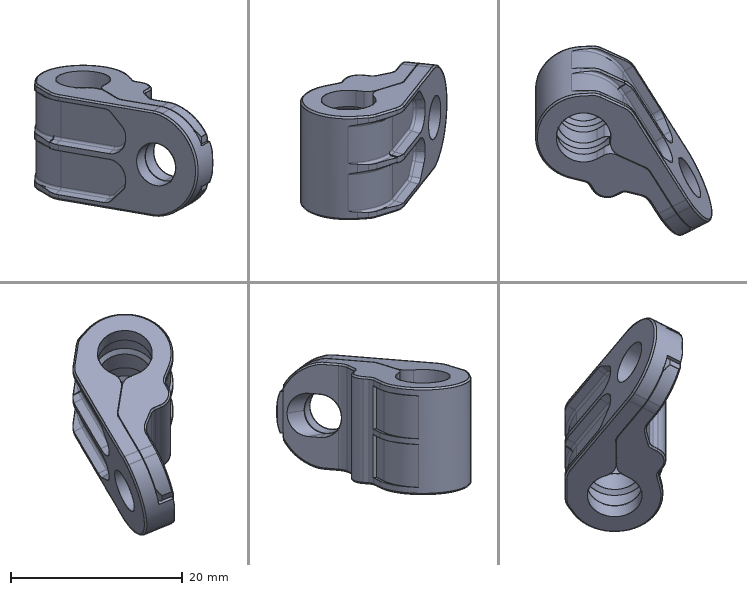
import cadquery as cq
import math


LENGTH = 24.55
DEPTH = 12.27
HEIGHT = 12.9
HALF_HEIGHT = HEIGHT / 2
EDGE_CHAMFER = 0.22

RING_RADIUS = 5.62
RING_X = RING_RADIUS
RING_Y = DEPTH - RING_RADIUS
BORE_RADIUS = 3.2
GROOVE_DEPTH = 0.5
GROOVE_TOP = 2.04
GROOVE_WIDTH = 2.97

FLANK_SUM = RING_X + RING_Y + RING_RADIUS * math.sqrt(2)
TAIL_TOP = 4.12
BUMP_TOP = 9.15
BUMP_RIGHT = 14.15
BUMP_RADIUS = 2.01
BUMP_ROOT_RADIUS = 0.88
TAIL_ROOT_RADIUS = 1.77
HEEL = (5.18, 0.0)
HEEL_RADIUS = 2.82
SHOULDER = (1.42, 2.48)
SHOULDER_RADIUS = 2.09

TIP_RADIUS = 6.53
TIP_X = LENGTH - TIP_RADIUS
TIP_BLEND_RADIUS = 4.42

SLIT_GAP = 0.07
SLIT_Y = 2.09
SLIT_ANGLE = math.radians(33.7)
SLIT_KNEE_X = 12.93
SLIT_KNEE_RADIUS = 1.55
JAW_RADIUS = 1.57
LOWER_JAW_RADIUS = 1.82

UPPER_TIP_X = 23.6
HOOK_INNER_X = 23.68
HOOK_TOP = 3.9
HOOK_HALF_WIDTH = 2.5
HOOK_CHAMFER = 0.15
HOOK_ROOT_RADIUS = 0.4
RELIEF_LENGTH = 0.8
RELIEF_HEIGHT = 0.61
RELIEF_BULGE = 0.06

HOLE_X = 19.05
HOLE_RADIUS = 2.6
HOLE_SWEEP = 1.47

POCKET_DEPTH = 1.33
POCKET_DRAFT = 10.0
POCKET_FILLET = 0.35
POCKET_FLOOR_RADIUS = 5.75
POCKET_SWEEP = 100.0
POCKET_END_X = 14.97
OUTER_RIB = 0.69
MIDDLE_RIB = 0.69
POCKET_TOP = HALF_HEIGHT - OUTER_RIB
POCKET_BOTTOM = MIDDLE_RIB / 2
POCKET_BEVEL = 2.28
POCKET_TOP_RADIUS = 1.35
POCKET_END_RADIUS = 1.72
POCKET_BOTTOM_RADIUS = 2.2
RING_WIDENING = 0.12
WIDENING_X = 4.6

RECESS_START = 100.0
RECESS_SHIFT = 0.5
RECESS_OUTER_RIB = 0.93
RECESS_END_X = 10.55
FLANK_ANGLE = 45


def rounded_outline(plane, corners):
    """Closed outline through (x, y, radius) corners, each rounded by a tangent arc of its radius."""
    count = len(corners)
    path = None
    for i, (x, y, radius) in enumerate(corners):
        here = cq.Vector(x, y)
        before = (cq.Vector(*corners[i - 1][:2]) - here).normalized()
        after = (cq.Vector(*corners[(i + 1) % count][:2]) - here).normalized()
        half_angle = before.getAngle(after) / 2
        setback = radius / math.tan(half_angle)
        start = here + before * setback
        end = here + after * setback
        bisector = (before + after).normalized()
        middle = here + bisector * (radius / math.sin(half_angle) - radius)
        path = path.lineTo(start.x, start.y) if path else cq.Workplane(plane).moveTo(start.x, start.y)
        if radius:
            path = path.threePointArc((middle.x, middle.y), (end.x, end.y))
    return path.close()


def through_height(outline):
    return outline.extrude(HALF_HEIGHT, both=True)


def box(x_min, x_max, y_min, y_max, z_min, z_max):
    size = (x_max - x_min, y_max - y_min, z_max - z_min)
    return cq.Workplane("XY").box(*size, centered=False).translate((x_min, y_min, z_min))


def ring_point(angle, radius=RING_RADIUS):
    turn = math.radians(angle)
    return RING_X + radius * math.cos(turn), RING_Y + radius * math.sin(turn)


def make_body():
    """Solid silhouette: side outline trimmed by the rounded tail, outer edges chamfered."""
    reach_x = SHOULDER[0] - RING_X
    reach_y = SHOULDER[1] - RING_Y
    tangent_angle = math.atan2(reach_y, reach_x) - math.acos(RING_RADIUS / math.hypot(reach_x, reach_y))
    ring_end = ring_point(math.degrees(tangent_angle))
    body = through_height(rounded_outline("XY", [
        (*ring_end, 0),
        (*SHOULDER, SHOULDER_RADIUS),
        (*HEEL, HEEL_RADIUS),
        (LENGTH, 0, 0),
        (LENGTH, TAIL_TOP, 0),
        (FLANK_SUM - TAIL_TOP, TAIL_TOP, TAIL_ROOT_RADIUS),
        (BUMP_RIGHT, FLANK_SUM - BUMP_RIGHT, BUMP_ROOT_RADIUS),
        (BUMP_RIGHT, BUMP_TOP, BUMP_RADIUS),
        (FLANK_SUM - BUMP_TOP, BUMP_TOP, BUMP_ROOT_RADIUS),
        (*ring_point(FLANK_ANGLE), 0),
    ]))
    body = body.union(through_height(cq.Workplane("XY").center(RING_X, RING_Y).circle(RING_RADIUS)))

    blend_z = HALF_HEIGHT - TIP_BLEND_RADIUS
    blend_run = math.sqrt((TIP_RADIUS - TIP_BLEND_RADIUS) ** 2 - blend_z ** 2)
    blend_x = TIP_X + blend_run
    tip_angle = math.atan2(blend_z, blend_run)
    mid_angle = (tip_angle + math.pi / 2) / 2
    join = (TIP_X + TIP_RADIUS * math.cos(tip_angle), TIP_RADIUS * math.sin(tip_angle))
    blend_mid = (
        blend_x + TIP_BLEND_RADIUS * math.cos(mid_angle),
        blend_z + TIP_BLEND_RADIUS * math.sin(mid_angle),
    )
    plan = (
        cq.Workplane("XZ")
        .moveTo(0, -HALF_HEIGHT)
        .lineTo(blend_x, -HALF_HEIGHT)
        .threePointArc((blend_mid[0], -blend_mid[1]), (join[0], -join[1]))
        .threePointArc((LENGTH, 0), join)
        .threePointArc(blend_mid, (blend_x, HALF_HEIGHT))
        .lineTo(0, HALF_HEIGHT)
        .close()
        .extrude(-2 * DEPTH)
    )
    body = body.intersect(plan).clean()
    return body.edges("not(|Z or |Y)").chamfer(EDGE_CHAMFER)


def make_bore():
    """Bore with two chamfer-sided grooves, mirrored about the middle."""
    bore = through_height(cq.Workplane("XY").circle(BORE_RADIUS))
    top = HALF_HEIGHT - GROOVE_TOP
    bottom = top - GROOVE_WIDTH
    deep = BORE_RADIUS + GROOVE_DEPTH
    groove = (
        cq.Workplane("XZ")
        .polyline([
            (0, top),
            (BORE_RADIUS, top),
            (deep, top - GROOVE_DEPTH),
            (deep, bottom + GROOVE_DEPTH),
            (BORE_RADIUS, bottom),
            (0, bottom),
        ])
        .close()
        .revolve(360, (0, 0), (0, 1))
    )
    bore = bore.union(groove).union(groove.mirror("XY"))
    return bore.translate((RING_X, RING_Y, 0))


def make_slit():
    """Thin slit from the bore to the tip, with its rounded mouth between the jaws."""
    slope = math.tan(SLIT_ANGLE)
    jaw_x = RING_X + BORE_RADIUS
    upper_y = SLIT_Y + SLIT_GAP / 2
    lower_y = SLIT_Y - SLIT_GAP / 2
    knee_shift = SLIT_GAP * math.tan(SLIT_ANGLE / 2)
    lower_knee_x = SLIT_KNEE_X - knee_shift
    jaw_y = upper_y + (SLIT_KNEE_X - jaw_x) * slope
    lower_jaw_y = lower_y + (lower_knee_x - RING_X) * slope
    slit = through_height(rounded_outline("XY", [
        (jaw_x, RING_Y, 0),
        (jaw_x, jaw_y, JAW_RADIUS),
        (SLIT_KNEE_X, upper_y, SLIT_KNEE_RADIUS),
        (UPPER_TIP_X, upper_y, 0),
        (UPPER_TIP_X, lower_y, 0),
        (lower_knee_x, lower_y, SLIT_KNEE_RADIUS),
        (RING_X, lower_jaw_y, 0),
    ]))
    reach = BORE_RADIUS + LOWER_JAW_RADIUS
    wall_distance = (lower_jaw_y - RING_Y) * math.cos(SLIT_ANGLE) - LOWER_JAW_RADIUS
    nose_angle = math.pi / 2 - SLIT_ANGLE - math.acos(wall_distance / reach)
    nose_x = RING_X + reach * math.cos(nose_angle)
    nose_y = RING_Y + reach * math.sin(nose_angle)
    bore_touch = ring_point(math.degrees(nose_angle), BORE_RADIUS)
    wall_touch = (
        nose_x + LOWER_JAW_RADIUS * math.sin(SLIT_ANGLE),
        nose_y + LOWER_JAW_RADIUS * math.cos(SLIT_ANGLE),
    )
    mouth = through_height(
        cq.Workplane("XY")
        .polyline([(RING_X, RING_Y), bore_touch, (nose_x, nose_y), wall_touch, (RING_X, lower_jaw_y)])
        .close()
    )
    nose = through_height(cq.Workplane("XY").center(nose_x, nose_y).circle(LOWER_JAW_RADIUS))
    return slit.union(mouth.cut(nose))


def make_tip_gap():
    """Clearance that shortens the upper plate and leaves the hook standing on the lower one."""
    far = LENGTH + 0.25
    above = TAIL_TOP + 0.25
    floor = SLIT_Y - SLIT_GAP / 2
    relief_share = 0.5 - RELIEF_BULGE
    gap = (
        cq.Workplane("XY")
        .moveTo(UPPER_TIP_X, above)
        .lineTo(UPPER_TIP_X, floor + RELIEF_HEIGHT)
        .threePointArc(
            (UPPER_TIP_X - relief_share * RELIEF_LENGTH, floor + relief_share * RELIEF_HEIGHT),
            (UPPER_TIP_X - RELIEF_LENGTH, floor),
        )
        .lineTo(far, floor)
        .lineTo(far, above)
        .close()
    )
    gap = through_height(gap)
    hook = (
        cq.Workplane("XY")
        .moveTo(HOOK_INNER_X, HOOK_TOP)
        .lineTo(LENGTH - HOOK_CHAMFER, HOOK_TOP)
        .lineTo(LENGTH, HOOK_TOP - HOOK_CHAMFER)
        .lineTo(LENGTH, floor)
        .lineTo(HOOK_INNER_X - HOOK_ROOT_RADIUS, floor)
        .radiusArc((HOOK_INNER_X, floor + HOOK_ROOT_RADIUS), -HOOK_ROOT_RADIUS)
        .close()
        .extrude(HOOK_HALF_WIDTH, both=True)
    )
    return gap.cut(hook)


def make_hole_tools():
    """Round hole through both plates, widening toward the tip through the upper plate."""
    hole = cq.Workplane("XZ").center(HOLE_X, 0).circle(HOLE_RADIUS).extrude(-DEPTH)
    rise = TAIL_TOP - SLIT_Y
    slanted = (
        cq.Workplane("XZ", origin=(HOLE_X, SLIT_Y, 0))
        .circle(HOLE_RADIUS)
        .workplane(offset=-rise)
        .center(HOLE_SWEEP, 0)
        .circle(HOLE_RADIUS)
        .loft(ruled=True)
    )
    wedge = (
        cq.Workplane("XY")
        .polyline([(HOLE_X, SLIT_Y), (HOLE_X + HOLE_SWEEP, TAIL_TOP), (HOLE_X, TAIL_TOP)])
        .close()
        .extrude(HOLE_RADIUS, both=True)
    )
    return hole, slanted, wedge


def flat_pocket(bottom):
    """Pocket under the plate: drafted walls and a filleted flat floor, ending at the ring axis."""
    start_x = RING_X - 2 * POCKET_DEPTH
    tool = (
        rounded_outline("XZ", [
            (start_x, POCKET_TOP, 0),
            (POCKET_END_X - POCKET_BEVEL, POCKET_TOP, POCKET_TOP_RADIUS),
            (POCKET_END_X, POCKET_TOP - POCKET_BEVEL, POCKET_END_RADIUS),
            (POCKET_END_X, bottom, POCKET_BOTTOM_RADIUS),
            (start_x, bottom, 0),
        ])
        .extrude(-POCKET_DEPTH, taper=POCKET_DRAFT)
        .faces(">Y")
        .edges()
        .fillet(POCKET_FILLET)
    )
    return tool.intersect(box(RING_X, LENGTH, 0, RING_Y, 0, HALF_HEIGHT))


def ring_pocket(bottom):
    """The pocket's cross-section carried around the ring until its floor runs out of the surface."""
    section = flat_pocket(bottom).faces("<X").val().outerWire()
    axis_y = POCKET_DEPTH + POCKET_FLOOR_RADIUS
    axis = (cq.Vector(RING_X, axis_y, 0.25), cq.Vector(RING_X, axis_y, 0))
    return cq.Workplane(cq.Solid.revolve(section, [], POCKET_SWEEP, *axis))


def make_pocket():
    """Upper front pocket, slightly wider toward the middle rib on the far part of the ring."""
    wide = ring_pocket(POCKET_BOTTOM - RING_WIDENING)
    wide = wide.intersect(box(-LENGTH, WIDENING_X, -LENGTH, LENGTH, 0, HALF_HEIGHT))
    return flat_pocket(POCKET_BOTTOM).union(ring_pocket(POCKET_BOTTOM)).union(wide)


def make_recess():
    """Upper back recess: a shallow crescent that deepens from the ring's crest into the flank."""
    shift_angle = math.radians(RECESS_START - 90)

    def floor_point(angle):
        x, y = ring_point(angle)
        return x - RECESS_SHIFT * math.cos(shift_angle), y - RECESS_SHIFT * math.sin(shift_angle)

    flank = floor_point(FLANK_ANGLE)
    run = RECESS_END_X - flank[0]
    end_y = flank[1] - run
    outside = DEPTH + RING_RADIUS
    return (
        cq.Workplane("XY", origin=(0, 0, POCKET_BOTTOM))
        .moveTo(*floor_point(RECESS_START))
        .threePointArc(floor_point((RECESS_START + FLANK_ANGLE) / 2), flank)
        .lineTo(RECESS_END_X, end_y)
        .lineTo(RECESS_END_X + run, end_y + run)
        .lineTo(RECESS_END_X, outside)
        .lineTo(floor_point(RECESS_START)[0], outside)
        .close()
        .extrude(HALF_HEIGHT - RECESS_OUTER_RIB - POCKET_BOTTOM)
    )


result = make_body()
for tool in (make_bore(), make_slit(), make_tip_gap(), *make_hole_tools()):
    result = result.cut(tool)
for tool in (make_pocket(), make_recess()):
    result = result.cut(tool).cut(tool.mirror("XY"))